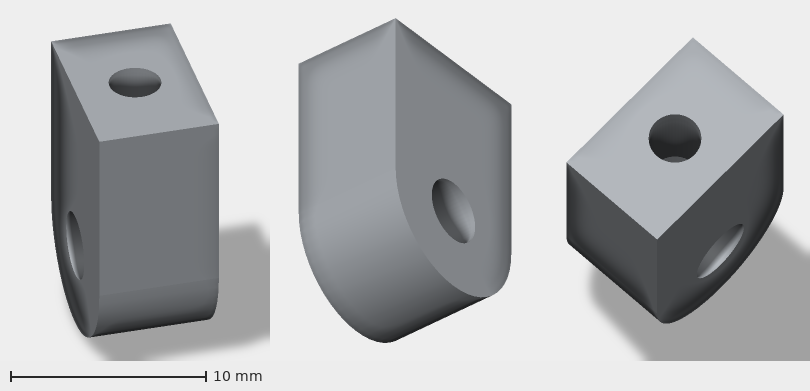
import cadquery as cq
import math

width = 9.53
thickness = 6.35
height = 14.29
cross_hole_diameter = 3.57
top_hole_diameter = 2.7
top_hole_depth = 5.43
drill_point_angle = 118.0

end_radius = width / 2
top_z = height - end_radius


def make_body():
    """Block along Y with a flat top and a fully rounded lower end."""
    return (
        cq.Workplane("XZ")
        .moveTo(-end_radius, top_z)
        .lineTo(-end_radius, 0)
        .threePointArc((0, -end_radius), (end_radius, 0))
        .lineTo(end_radius, top_z)
        .close()
        .extrude(thickness / 2, both=True)
    )


def make_cross_hole():
    """Cylinder passing through the full thickness."""
    return cq.Workplane("XZ").circle(cross_hole_diameter / 2).extrude(thickness, both=True)


def make_top_hole():
    """Blind drilled hole with a conical bottom, going down from the top face."""
    radius = top_hole_diameter / 2
    tip_length = radius / math.tan(math.radians(drill_point_angle / 2))
    shoulder_z = top_z - top_hole_depth
    return (
        cq.Workplane("XZ")
        .moveTo(0, top_z)
        .lineTo(radius, top_z)
        .lineTo(radius, shoulder_z)
        .lineTo(0, shoulder_z - tip_length)
        .close()
        .revolve(360, (0, 0, 0), (0, 1, 0))
    )


result = make_body().cut(make_cross_hole()).cut(make_top_hole())